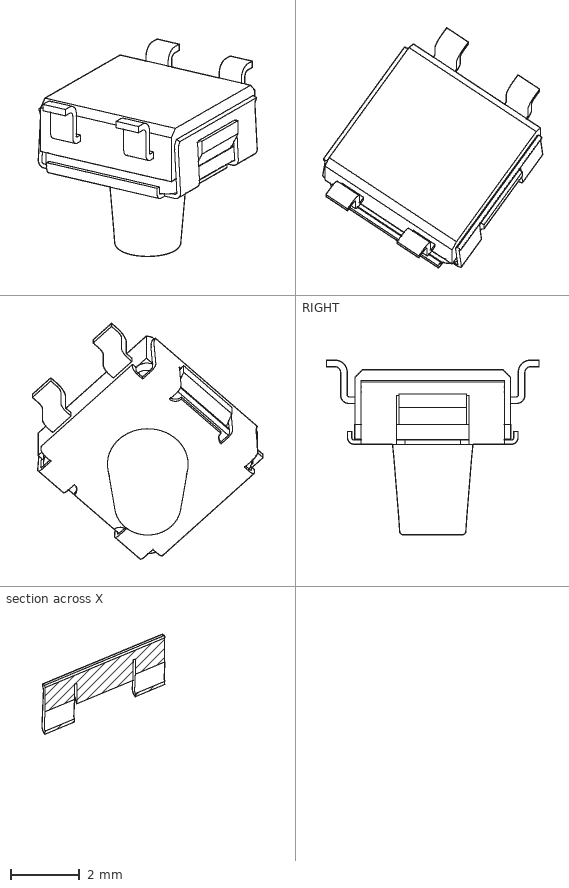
import cadquery as cq
import math


housing_x = 4.515
housing_y = 4.54
housing_bottom = 0.58
housing_top = 2.18
housing_chamfer = 0.225

base_side = 4.56
base_corner_radius = 0.445

tooth_reach = 2.5
tooth_width = 1.97
tooth_lip_bottom = 1.07
tooth_top = 1.475

sheet = 0.13
frame_gap = 0.01
frame_bend = 0.205
flange_width = 3.82
flange_reach = 2.49
flange_top = 0.38
wall_width = 4.17
wall_foot = 2.475
wall_neck = 2.38
wall_neck_height = 1.635
neck_inner_radius = 0.125
neck_outer_radius = 0.09
flare_length = 0.19
flare_angle = math.radians(18)

window_width = 2.11
window_top = 1.43
tab_width = 1.625
tab_reach = 2.225
relief_radius = (window_width - tab_width) / 2

lead_span = 6.2
lead_width = 0.77
lead_spacing = 2.53
lead_sheet = 0.2
lead_top = 2.46
lead_bottom = 1.19
lead_outer_y = 2.69
lead_upper_bend = 0.36
lead_lower_bend = 0.25

plunger_length = 2.64
plunger_root_radius = 1.18
plunger_tip_radius = 0.96
plunger_edge_radius = 0.11

base_bottom = sheet + frame_gap


def corner_arc(before, corner, after, radius):
    """Start, middle and end points of an arc that rounds a corner between two straight lines."""
    in_x, in_y = before[0] - corner[0], before[1] - corner[1]
    out_x, out_y = after[0] - corner[0], after[1] - corner[1]
    in_len, out_len = math.hypot(in_x, in_y), math.hypot(out_x, out_y)
    in_x, in_y = in_x / in_len, in_y / in_len
    out_x, out_y = out_x / out_len, out_y / out_len
    half = math.acos(in_x * out_x + in_y * out_y) / 2
    tangent = radius / math.tan(half)
    depth = radius / math.sin(half) - radius
    bisector = math.hypot(in_x + out_x, in_y + out_y)
    start = (corner[0] + tangent * in_x, corner[1] + tangent * in_y)
    end = (corner[0] + tangent * out_x, corner[1] + tangent * out_y)
    middle = (
        corner[0] + depth * (in_x + out_x) / bisector,
        corner[1] + depth * (in_y + out_y) / bisector,
    )
    return start, middle, end


def profile_prism(plane, corners, width):
    """Prism centred on the plane; each corner is (u, v, rounding radius), the first one sharp."""
    sketch = cq.Workplane(plane).moveTo(*corners[0][:2])
    for i in range(1, len(corners)):
        u, v, radius = corners[i]
        if radius == 0:
            sketch = sketch.lineTo(u, v)
        else:
            following = corners[(i + 1) % len(corners)]
            start, middle, end = corner_arc(corners[i - 1], (u, v), following, radius)
            sketch = sketch.lineTo(*start).threePointArc(middle, end)
    return sketch.close().extrude(width / 2, both=True)


def both_sides(half):
    """Half of a symmetric feature together with its copy on the opposite side."""
    return half.union(half.rotate((0, 0, 0), (0, 0, 1), 180))


def make_housing():
    housing = (
        cq.Workplane("XY")
        .workplane(offset=housing_bottom)
        .rect(housing_x, housing_y)
        .extrude(housing_top - housing_bottom)
        .faces(">Z")
        .edges("|X")
        .chamfer(housing_chamfer)
    )
    base = (
        cq.Workplane("XY")
        .workplane(offset=base_bottom)
        .rect(base_side, base_side)
        .extrude(housing_bottom - base_bottom)
        .edges("|Z")
        .fillet(base_corner_radius)
    )
    return housing.union(base)


def make_tooth():
    outline = [
        (0, housing_bottom, 0),
        (housing_x / 2, housing_bottom, 0),
        (tooth_reach, tooth_lip_bottom, 0),
        (tooth_reach, tooth_top, 0),
        (0, tooth_top, 0),
    ]
    return profile_prism("XZ", outline, tooth_width)


def make_flange():
    outline = [
        (0, 0, 0),
        (flange_reach, 0, frame_bend),
        (flange_reach, flange_top, 0),
        (flange_reach - sheet, flange_top, 0),
        (flange_reach - sheet, sheet, frame_bend - sheet),
        (0, sheet, 0),
    ]
    return profile_prism("YZ", outline, flange_width)


def make_wall():
    """Wall leaning inward to its neck, then flaring outward, joined to half of the floor."""
    lean = math.atan((wall_foot - wall_neck) / wall_neck_height)
    mitre = (flare_angle - lean) / 2
    tip_x = wall_neck + flare_length * math.sin(flare_angle)
    tip_z = wall_neck_height + flare_length * math.cos(flare_angle)
    mitre_length = sheet / math.cos((flare_angle + lean) / 2)
    inner_foot = wall_foot - sheet * math.tan(lean) - sheet / math.cos(lean)
    outline = [
        (0, 0, 0),
        (wall_foot, 0, frame_bend),
        (wall_neck, wall_neck_height, neck_outer_radius),
        (tip_x, tip_z, 0),
        (tip_x - sheet * math.cos(flare_angle), tip_z + sheet * math.sin(flare_angle), 0),
        (
            wall_neck - mitre_length * math.cos(mitre),
            wall_neck_height + mitre_length * math.sin(mitre),
            neck_inner_radius,
        ),
        (inner_foot, sheet, frame_bend - sheet),
        (0, sheet, 0),
    ]
    return profile_prism("XZ", outline, wall_width).cut(make_window())


def make_window():
    """Cutter for the wall window; it leaves the floor tab and the quarter-round relief on each side."""
    relief_floor = tab_reach - relief_radius
    cutter = (
        cq.Workplane("XY")
        .center((relief_floor + tooth_reach) / 2, 0)
        .rect(tooth_reach - relief_floor, window_width)
        .extrude(window_top)
    )
    tab = (
        cq.Workplane("XY")
        .moveTo(relief_floor, window_width / 2)
        .radiusArc((tab_reach, tab_width / 2), -relief_radius)
        .lineTo(tab_reach, -tab_width / 2)
        .radiusArc((relief_floor, -window_width / 2), -relief_radius)
        .close()
        .extrude(sheet)
    )
    return cutter.cut(tab)


def make_lead():
    end_y = lead_span / 2
    inner_y = lead_outer_y - lead_sheet
    outline = [
        (0, lead_bottom, 0),
        (lead_outer_y, lead_bottom, lead_lower_bend),
        (lead_outer_y, lead_top - lead_sheet, lead_upper_bend - lead_sheet),
        (end_y, lead_top - lead_sheet, 0),
        (end_y, lead_top, 0),
        (inner_y, lead_top, lead_upper_bend),
        (inner_y, lead_bottom + lead_sheet, lead_lower_bend - lead_sheet),
        (0, lead_bottom + lead_sheet, 0),
    ]
    return profile_prism("YZ", outline, lead_width)


def make_plunger():
    outline = (
        cq.Workplane("XZ")
        .moveTo(0, base_bottom)
        .lineTo(plunger_root_radius, base_bottom)
        .lineTo(plunger_root_radius, 0)
        .lineTo(plunger_tip_radius, -plunger_length)
        .lineTo(0, -plunger_length)
        .close()
    )
    return outline.revolve(360, (0, 0), (0, 1)).faces("<Z").edges().fillet(plunger_edge_radius)


frame = both_sides(make_wall()).union(both_sides(make_flange()))

result = make_housing().union(both_sides(make_tooth())).union(make_plunger()).union(frame)
for lead_x in (-lead_spacing / 2, lead_spacing / 2):
    result = result.union(both_sides(make_lead()).translate((lead_x, 0, 0)))